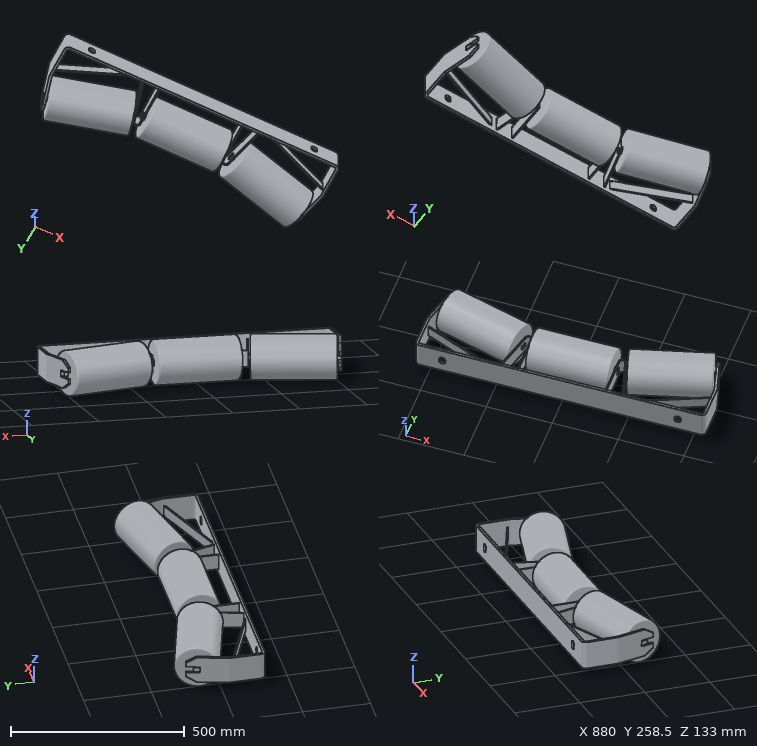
import cadquery as cq
import math


frame_length = 880.0
strip_height = 83.0
strip_thickness = 8.0
corner_radius = 14.0
bend_height = 109.0
bend_radius = 25.0
wing_tip_height = 229.0
wing_tip_width = 46.0
wing_taper_length = 31.0
mount_hole_spacing = 715.0
mount_hole_width = 19.0
mount_hole_height = 25.0

trough_angle = 15.0
roller_diameter = 133.0
roller_length = 250.0
roller_edge_radius = 5.0
middle_roller_y = 124.0
side_roller_x = 283.0
side_roller_y = 163.0
shaft_diameter = 21.0
shaft_flat_width = 14.0
shaft_slot_width = 19.0
shaft_slot_corner = 6.0
roller_gap = 6.0
round_shaft_reach = 3.5

bracket_thickness = 4.0
bracket_top = 150.5
bracket_arch_radius = 11.0
bracket_height = 49.0
strut_thickness = 4.0
strut_height = 35.0
strut_wall_y = 100.0
strut_foot_x = 205.0

half_length = frame_length / 2
slope = math.radians(trough_angle)
wing_lean = (wing_tip_height - bend_height) * math.tan(slope)
wing_tip_x = half_length - wing_lean
bracket_leg_x = roller_length / 2 + roller_gap
arch_x = bracket_leg_x + bracket_arch_radius
arch_y = bracket_top - bracket_arch_radius


def along_side_axis(x, y):
    """Distance of (x, y) from the middle of the right roller, measured along its axis."""
    return (x - side_roller_x) * math.cos(slope) + (y - side_roller_y) * math.sin(slope)


def across_side_axis(x, y):
    """Distance of (x, y) above the right roller's axis, measured square to it."""
    return (y - side_roller_y) * math.cos(slope) - (x - side_roller_x) * math.sin(slope)


middle_reach = bracket_leg_x + bracket_thickness
sloping_leg_reach = -along_side_axis(arch_x, arch_y) - bracket_arch_radius + bracket_thickness
wing_reach = along_side_axis(half_length, bend_height)


def extrude_centred(outline, height):
    """Extrude a closed XY outline symmetrically about Z = 0."""
    return outline.extrude(height / 2, both=True)


def axis_plane(x, y, angle, distance=0.0):
    """Plane normal to a roller axis, at a distance along it from (x, y); local Y is global Z."""
    tilt = math.radians(angle)
    axis = (math.cos(tilt), math.sin(tilt), 0)
    origin = (x + distance * axis[0], y + distance * axis[1], 0)
    return cq.Plane(origin=origin, xDir=(-axis[1], axis[0], 0), normal=axis)


def mirrored(body):
    """The matching body on the other side of X = 0."""
    return body.mirror("YZ")


def make_roller(x, y, angle, left_reach, right_reach):
    """Roller with its shaft; the flatted shaft ends reach the given distances from its middle."""
    roller = (
        cq.Workplane(axis_plane(x, y, angle, -roller_length / 2))
        .circle(roller_diameter / 2)
        .extrude(roller_length)
        .edges("%CIRCLE")
        .fillet(roller_edge_radius)
    )
    round_length = roller_length + 2 * round_shaft_reach
    round_shaft = (
        cq.Workplane(axis_plane(x, y, angle, -round_length / 2))
        .circle(shaft_diameter / 2)
        .extrude(round_length)
    )
    shaft_start = axis_plane(x, y, angle, -left_reach)
    shaft_length = left_reach + right_reach
    flat_bar = cq.Workplane(shaft_start).rect(shaft_diameter, shaft_flat_width).extrude(shaft_length)
    flat_shaft = cq.Workplane(shaft_start).circle(shaft_diameter / 2).extrude(shaft_length).intersect(flat_bar)
    return roller.union(round_shaft).union(flat_shaft)


def wing_tip_cutter():
    """Material removed from the right wing: two tapered corners and the open shaft slot."""
    tip = across_side_axis(wing_tip_x, wing_tip_height)
    cut_depth = 2 * strip_thickness
    cut_start = wing_reach - 1.5 * strip_thickness
    wing = cq.Workplane(axis_plane(side_roller_x, side_roller_y, trough_angle, cut_start))
    slot_floor = -shaft_diameter / 2
    cutter = (
        wing.center((tip + slot_floor) / 2, 0)
        .sketch()
        .rect(tip - slot_floor, shaft_slot_width)
        .vertices("<X")
        .fillet(shaft_slot_corner)
        .finalize()
        .extrude(cut_depth)
    )
    for side in (1, -1):
        corner = wing.polyline([
            (tip, side * wing_tip_width / 2),
            (tip, side * strip_height / 2),
            (tip - wing_taper_length, side * strip_height / 2),
        ]).close()
        cutter = cutter.union(corner.extrude(cut_depth))
    return cutter


def make_frame():
    """Bent strip: long back, square corners and two wings leaning inwards with slotted tips."""
    inner_x = half_length - strip_thickness
    inner_bend_y = bend_height - strip_thickness * math.tan(slope / 2)
    inner_tip_x = wing_tip_x - strip_thickness * math.cos(slope)
    inner_tip_y = wing_tip_height - strip_thickness * math.sin(slope)
    right_side = [
        (half_length, 0),
        (half_length, bend_height),
        (wing_tip_x, wing_tip_height),
        (inner_tip_x, inner_tip_y),
        (inner_x, inner_bend_y),
        (inner_x, strip_thickness),
    ]
    left_side = [(-x, y) for x, y in reversed(right_side)]
    frame = extrude_centred(cq.Workplane("XY").polyline(right_side + left_side).close(), strip_height)

    bends = [
        (half_length, 0, corner_radius),
        (inner_x, strip_thickness, corner_radius - strip_thickness),
        (half_length, bend_height, bend_radius),
        (inner_x, inner_bend_y, bend_radius - strip_thickness),
    ]
    for x, y, radius in bends:
        for side in (1, -1):
            frame = frame.edges(cq.NearestToPointSelector((side * x, y, 0))).fillet(radius)

    mount_holes = (
        cq.Workplane("XZ")
        .pushPoints([(-mount_hole_spacing / 2, 0), (mount_hole_spacing / 2, 0)])
        .slot2D(mount_hole_height, mount_hole_width, 90)
        .extrude(-strip_thickness)
    )
    tip_cutter = wing_tip_cutter()
    return frame.cut(mount_holes).cut(tip_cutter).cut(mirrored(tip_cutter))


def make_bracket(*shafts):
    """Right hairpin bracket: an upright leg, an arch and a leg square to the side roller."""

    def arch_point(radius, angle):
        return (arch_x + radius * math.cos(angle), arch_y + radius * math.sin(angle))

    def foot_x(radius):
        """Where the sloping leg's face at this arch radius meets the frame."""
        x, y = arch_point(radius, slope)
        return x + (y - strip_thickness) * math.tan(slope)

    outer = bracket_arch_radius
    inner = outer - bracket_thickness
    outline = (
        cq.Workplane("XY")
        .moveTo(bracket_leg_x, strip_thickness)
        .lineTo(*arch_point(outer, math.pi))
        .threePointArc(arch_point(outer, math.pi / 2), arch_point(outer, slope))
        .lineTo(foot_x(outer), strip_thickness)
        .lineTo(foot_x(inner), strip_thickness)
        .lineTo(*arch_point(inner, slope))
        .threePointArc(arch_point(inner, math.pi / 2), arch_point(inner, math.pi))
        .lineTo(bracket_leg_x + bracket_thickness, strip_thickness)
        .close()
    )
    bracket = extrude_centred(outline, bracket_height)
    for shaft in shafts:
        bracket = bracket.cut(shaft)
    return bracket


def make_strut():
    """Right diagonal strut, its ends cut flush with the frame's side and back."""
    wall_x = half_length - strip_thickness
    strut_slope = math.atan2(strut_wall_y - strip_thickness, wall_x - strut_foot_x)
    outline = cq.Workplane("XY").polyline([
        (strut_foot_x, strip_thickness),
        (wall_x, strut_wall_y),
        (wall_x, strut_wall_y - strut_thickness / math.cos(strut_slope)),
        (strut_foot_x + strut_thickness / math.sin(strut_slope), strip_thickness),
    ]).close()
    return extrude_centred(outline, strut_height)


middle_roller = make_roller(0, middle_roller_y, 0, middle_reach, middle_reach)
right_roller = make_roller(side_roller_x, side_roller_y, trough_angle, sloping_leg_reach, wing_reach)
right_bracket = make_bracket(middle_roller, right_roller)
right_strut = make_strut()
frame = make_frame()

bodies = [frame.val(), middle_roller.val()]
for right_body in (right_roller, right_bracket, right_strut):
    bodies.append(right_body.val())
    bodies.append(mirrored(right_body).val())

result = cq.Compound.makeCompound(bodies)